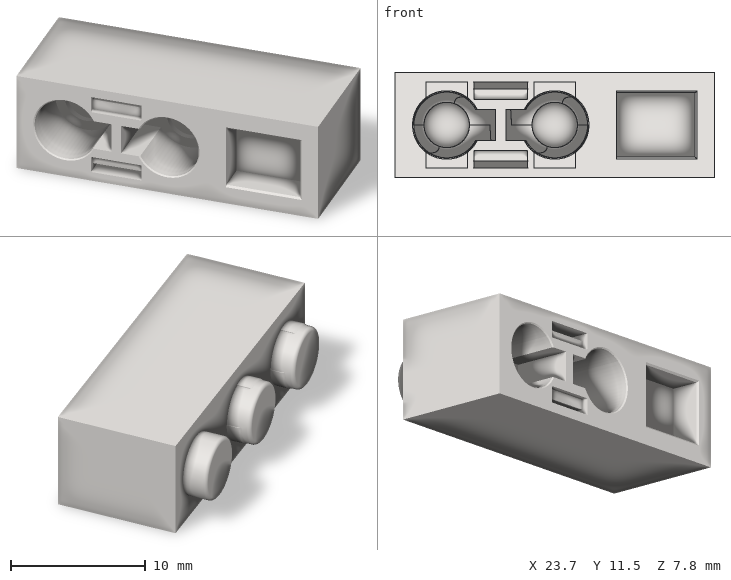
import cadquery as cq

block_length = 23.7
block_depth = 9.55
block_height = 7.8
overall_depth = 11.45
stud_pitch = 8.0
plain_stud_radius = 2.46
contact_stud_radius = 2.42
stud_fillet = 0.28

socket_radius = 2.45
socket_chamfer = 0.1
socket_depth = 4.75
side_slot_half_height = 1.15
web_half_width = 0.38

recess_half_length = 2.0
recess_inner_z = 1.9
recess_depth = 0.5
recess_corner_fillet = 0.1

window_left = 4.6
window_right = 10.55
window_half_height = 2.54
window_depth = 2.42
window_chamfer = 0.15

sheet_thickness = 0.5
leg_half_width = 1.55
leg_outer_z = 3.18
leg_inner_z = 1.65
foot_inner_z = 2.06
arm_inner_radius = 1.68
arm_outer_radius = 2.5
arm_end_x = 0.57
arm_corner_fillet = 0.45
arm_chamfer_length = 0.17
arm_top_drop = 0.73
tab_end_middle = 0.8
tab_end_outer = 0.73

contact_xs = (-stud_pitch, 0.0)
plain_stud_x = stud_pitch
pair_x = sum(contact_xs) / 2
arm_top_y = overall_depth - arm_top_drop
foot_back_y = socket_depth + sheet_thickness
slot_inner_z = leg_outer_z - sheet_thickness


def box(x0, x1, y0, y1, z0, z1):
    """Box between two opposite corners."""
    return cq.Workplane("XY").box(x1 - x0, y1 - y0, z1 - z0, centered=False).translate((x0, y0, z0))


def cylinder(x, z, radius, y0, y1):
    """Cylinder along Y from y0 to y1."""
    return cq.Workplane("XZ", origin=(x, y0, z)).circle(radius).extrude(y0 - y1)


def half_turn(shape):
    """Copy turned by 180 degrees about the Y-parallel line midway between the sockets."""
    return shape.rotate((pair_x, 0, 0), (pair_x, 1, 0), 180)


def stud(x, radius):
    """Stud on the back face, with a rounded rim."""
    return cylinder(x, 0, radius, block_depth, overall_depth).faces(">Y").edges().fillet(stud_fillet)


def round_socket(x):
    """Round part of a socket, widened by a chamfer at the front face."""
    hole = cylinder(x, 0, socket_radius, 0, socket_depth)
    return hole.union(countersink(x))


def countersink(x):
    """Cone that widens a socket at the front face."""
    rim_radius = socket_radius + socket_chamfer
    return (
        cq.Workplane("XY")
        .polyline([(0, 0), (rim_radius, 0), (socket_radius, socket_chamfer), (0, socket_chamfer)])
        .close()
        .revolve(360, (0, 0), (0, 1))
        .translate((x, 0, 0))
    )


def side_slot(x):
    """Slot from a socket's axis towards the web that separates the two sockets."""
    web_side = pair_x + (web_half_width if x > pair_x else -web_half_width)
    return box(
        min(x, web_side), max(x, web_side), 0, socket_depth, -side_slot_half_height, side_slot_half_height
    )


def upper_recess():
    """Recess between the upper legs, with the deep slot that ends on the contact's bridge."""
    left = pair_x - recess_half_length
    right = pair_x + recess_half_length
    shallow = box(left, right, 0, recess_depth, recess_inner_z, leg_outer_z)
    shallow = shallow.edges("|Y and <Z").fillet(recess_corner_fillet)
    slot = box(left, right, 0, socket_depth, slot_inner_z, leg_outer_z)
    return shallow.union(slot)


def window():
    """Blind pocket, chamfered along its right, upper and lower rims."""
    inner_right = window_right - window_chamfer
    inner_half_height = window_half_height - window_chamfer
    pocket = box(window_left, inner_right, 0, window_depth, -inner_half_height, inner_half_height)
    center_x = (window_left + window_right) / 2
    width = window_right - window_left
    inner_shift = window_chamfer / 2
    rim = (
        cq.Workplane("XZ", origin=(center_x, 0, 0))
        .rect(width, 2 * window_half_height)
        .workplane(offset=-window_chamfer)
        .center(-inner_shift, 0)
        .rect(width - window_chamfer, 2 * inner_half_height)
        .loft(ruled=True)
    )
    return pocket.union(rim)


def leg(x):
    """Leg beside a socket, flush with the front face and forming part of the socket wall."""
    bar = box(x - leg_half_width, x + leg_half_width, 0, socket_depth, leg_inner_z, leg_outer_z)
    return bar.cut(round_socket(x))


def foot(x):
    """Plate at the socket floor joining a leg to its arm, with a rounded inner corner."""
    plate = box(x - leg_half_width, x + leg_half_width, socket_depth, foot_back_y, foot_inner_z, leg_outer_z)
    corner_x = x + arm_end_x + arm_corner_fillet
    corner_z = foot_inner_z - arm_corner_fillet
    corner = box(x + arm_end_x, corner_x, socket_depth, foot_back_y, corner_z, foot_inner_z)
    corner = corner.cut(cylinder(corner_x, corner_z, arm_corner_fillet, socket_depth, foot_back_y))
    return plate.union(corner)


def arm(x):
    """Part ring running from the socket floor to the side of the stud, chamfered at its tip."""
    ring = (
        cq.Workplane("XY")
        .polyline(
            [
                (arm_inner_radius, socket_depth),
                (arm_outer_radius, socket_depth),
                (arm_outer_radius, arm_top_y - arm_chamfer_length),
                (contact_stud_radius, arm_top_y),
                (arm_inner_radius, arm_top_y),
            ]
        )
        .close()
        .revolve(360, (0, 0), (0, 1))
    )
    span = box(-arm_outer_radius, arm_end_x, socket_depth, arm_top_y, 0, arm_outer_radius)
    return ring.intersect(span).translate((x, 0, 0))


def tab():
    """Plate set into the side slot's floor, reaching from the right-hand arm's bore towards the web."""
    stud_x = contact_xs[1]
    plate = (
        cq.Workplane("XZ", origin=(0, socket_depth, 0))
        .polyline(
            [
                (pair_x + tab_end_middle, 0),
                (stud_x, 0),
                (stud_x, side_slot_half_height),
                (pair_x + tab_end_outer, side_slot_half_height),
            ]
        )
        .close()
        .extrude(-sheet_thickness)
    )
    return plate.cut(cylinder(stud_x, 0, arm_inner_radius, socket_depth, foot_back_y))


def bridge():
    """Strip that joins the two feet behind the deep slot."""
    left, right = contact_xs
    return box(left, right, socket_depth, foot_back_y, slot_inner_z, leg_outer_z)


def make_contact():
    """Upper contact: two legs, feet and arms, joined by the bridge, with one tab."""
    contact = bridge().union(tab())
    for x in contact_xs:
        contact = contact.union(foot(x)).union(arm(x)).union(leg(x))
    return contact


def make_housing(contacts):
    """Block with studs, sockets, recesses and window, hollowed to hold the contacts."""
    half_length = block_length / 2
    half_height = block_height / 2
    housing = box(-half_length, half_length, 0, block_depth, -half_height, half_height)
    housing = housing.union(stud(plain_stud_x, plain_stud_radius)).cut(window())
    for x in contact_xs:
        housing = housing.union(stud(x, contact_stud_radius))
        housing = housing.cut(round_socket(x)).cut(side_slot(x))
        housing = housing.cut(cylinder(x, 0, arm_inner_radius, socket_depth, foot_back_y))
    recess = upper_recess()
    housing = housing.cut(recess).cut(half_turn(recess))
    for contact in contacts:
        housing = housing.cut(contact)
    return housing


upper_contact = make_contact()
contacts = [upper_contact, half_turn(upper_contact)]
housing = make_housing(contacts)

result = cq.Compound.makeCompound([housing.val(), *[contact.val() for contact in contacts]])